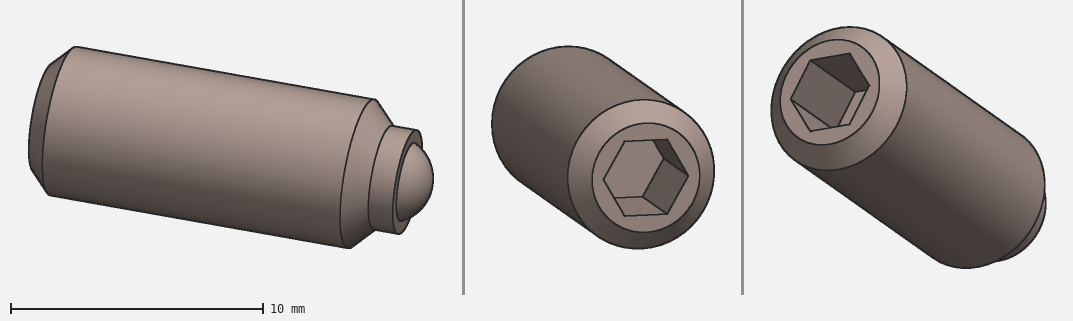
import cadquery as cq
import math

total_length = 15.99
body_diameter = 6.0
socket_end_chamfer = 0.8

collar_diameter = 4.19
collar_start = 13.99
ball_protrusion = 0.99
ball_rim_radius = 1.58

socket_across_flats = 3.0
socket_depth = 4.0

body_radius = body_diameter / 2
collar_radius = collar_diameter / 2
collar_end = total_length - ball_protrusion
cone_start = collar_start - (body_radius - collar_radius)

ball_radius = (ball_rim_radius**2 + ball_protrusion**2) / (2 * ball_protrusion)
ball_center = total_length - ball_radius
half_cap_angle = math.asin(ball_rim_radius / ball_radius) / 2
cap_midpoint = (
    ball_center + ball_radius * math.cos(half_cap_angle),
    ball_radius * math.sin(half_cap_angle),
)


def make_body():
    """Revolve the half profile of body, collar and ball about the X axis."""
    profile = (
        cq.Workplane("XY")
        .moveTo(0, 0)
        .lineTo(0, body_radius - socket_end_chamfer)
        .lineTo(socket_end_chamfer, body_radius)
        .lineTo(cone_start, body_radius)
        .lineTo(collar_start, collar_radius)
        .lineTo(collar_end, collar_radius)
        .lineTo(collar_end, ball_rim_radius)
        .threePointArc(cap_midpoint, (total_length, 0))
        .close()
    )
    return profile.revolve(360, (0, 0, 0), (1, 0, 0))


def make_socket():
    """Blind hexagon with two corners on the Y axis and flats facing Z."""
    across_corners = socket_across_flats / math.cos(math.radians(30))
    return cq.Workplane("YZ").polygon(6, across_corners).extrude(socket_depth)


result = make_body().cut(make_socket())